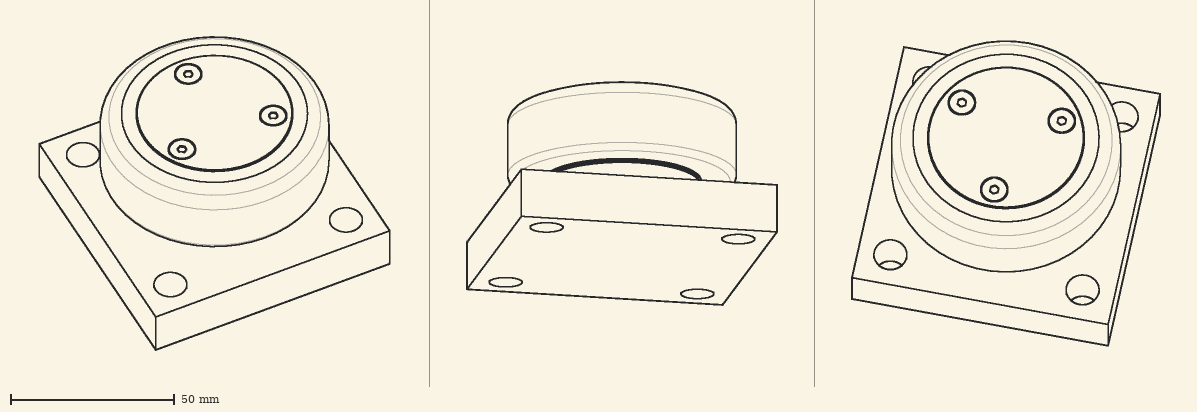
import cadquery as cq
import math

plate_side = 80.0
plate_height = 15.0
plate_hole_diameter = 10.1
plate_hole_pitch = 60.0

total_height = 49.0
post_radius = 24.0
post_chamfer = 0.3
neck_bottom = 24.6
neck_top = 25.0

roller_radius = 35.0
roller_bottom = 25.4
roller_top = 48.6
lower_round = 2.0
upper_round = 4.0
cone_slope = math.radians(20)
cone_top_radius = 28.5
collar_radius = 24.3

screw_circle_radius = 18.0
screw_angles = (60, 180, 300)
screw_head_diameter = 7.8
counterbore_diameter = 8.3
counterbore_depth = 0.5
socket_width = 2.5
socket_depth = 0.5


def make_plate():
    """Square plate with a through hole near each corner."""
    plate = cq.Workplane("XY").rect(plate_side, plate_side).extrude(plate_height)
    holes = (
        cq.Workplane("XY")
        .rect(plate_hole_pitch, plate_hole_pitch, forConstruction=True)
        .vertices()
        .circle(plate_hole_diameter / 2)
        .extrude(plate_height)
    )
    return plate.cut(holes)


def make_post():
    """Round post with chamfered ends and a shallow neck below the roller."""
    neck_radius = post_radius - post_chamfer
    return (
        cq.Workplane("XZ")
        .moveTo(0, 0)
        .lineTo(neck_radius, 0)
        .lineTo(neck_radius, plate_height)
        .lineTo(post_radius, plate_height + post_chamfer)
        .lineTo(post_radius, neck_bottom - post_chamfer)
        .lineTo(neck_radius, neck_bottom)
        .lineTo(neck_radius, neck_top)
        .lineTo(post_radius, neck_top)
        .lineTo(post_radius, total_height - post_chamfer)
        .lineTo(neck_radius, total_height)
        .lineTo(0, total_height)
        .close()
        .revolve(360, (0, 0), (0, 1))
    )


def make_roller():
    """Roller with a rounded lower edge and a rounded upper edge running into a shallow cone."""
    lower_center = (roller_radius - lower_round, roller_bottom + lower_round)
    lower_mid = (
        lower_center[0] + lower_round * math.cos(math.pi / 4),
        lower_center[1] - lower_round * math.sin(math.pi / 4),
    )

    round_sweep = math.pi / 2 - cone_slope
    upper_center_radius = roller_radius - upper_round
    cone_bottom_radius = upper_center_radius + upper_round * math.cos(round_sweep)
    cone_bottom = roller_top - (cone_bottom_radius - cone_top_radius) * math.tan(cone_slope)
    upper_center_height = cone_bottom - upper_round * math.sin(round_sweep)
    upper_mid = (
        upper_center_radius + upper_round * math.cos(round_sweep / 2),
        upper_center_height + upper_round * math.sin(round_sweep / 2),
    )
    return (
        cq.Workplane("XZ")
        .moveTo(0, neck_top)
        .lineTo(collar_radius, neck_top)
        .lineTo(collar_radius, roller_bottom)
        .lineTo(lower_center[0], roller_bottom)
        .threePointArc(lower_mid, (roller_radius, lower_center[1]))
        .lineTo(roller_radius, upper_center_height)
        .threePointArc(upper_mid, (cone_bottom_radius, cone_bottom))
        .lineTo(cone_top_radius, roller_top)
        .lineTo(0, roller_top)
        .close()
        .revolve(360, (0, 0), (0, 1))
    )


def make_screw_cut(angle):
    """Clearance ring around one screw head together with its hexagon socket."""
    x = screw_circle_radius * math.cos(math.radians(angle))
    y = screw_circle_radius * math.sin(math.radians(angle))
    top = cq.Workplane("XY", origin=(x, y, total_height))
    clearance = (
        top.circle(counterbore_diameter / 2)
        .circle(screw_head_diameter / 2)
        .extrude(-counterbore_depth)
    )
    socket_corner_diameter = socket_width / math.cos(math.pi / 6)
    socket = top.polygon(6, socket_corner_diameter).extrude(-socket_depth)
    return clearance.union(socket)


result = make_plate().union(make_post()).union(make_roller())
for screw_angle in screw_angles:
    result = result.cut(make_screw_cut(screw_angle))